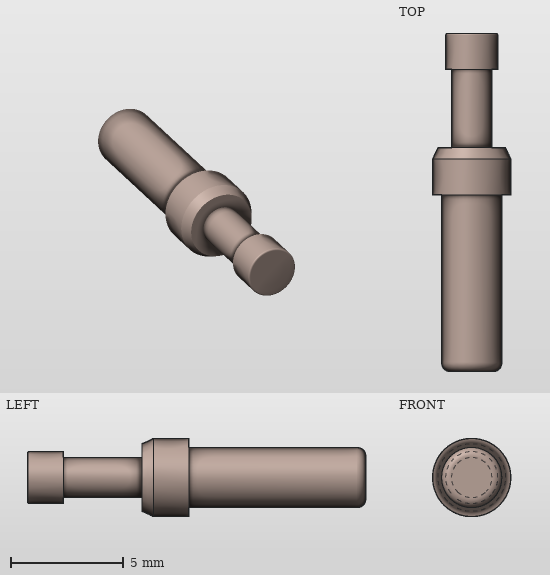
import cadquery as cq

total_length = 15.1
head_length = 1.6
neck_length = 3.5
collar_length = 2.1
pin_length = total_length - head_length - neck_length - collar_length

head_diameter = 2.33
neck_diameter = 1.8
collar_diameter = 3.5
pin_diameter = 2.69

pin_tip_fillet = 0.4
collar_taper_length = 0.51
collar_taper_depth = 0.24
head_end_fillet = 0.08


def cylinder(start, length, diameter):
    """Solid cylinder on the Y axis running from start towards +Y."""
    base = cq.Workplane("XZ", origin=(0, start, 0))
    return base.circle(diameter / 2).extrude(-length)


collar_start = pin_length
neck_start = collar_start + collar_length
head_start = neck_start + neck_length

pin = cylinder(0, pin_length, pin_diameter).faces("<Y").edges().fillet(pin_tip_fillet)

collar_radius = collar_diameter / 2
collar_profile = (
    cq.Workplane("XY")
    .moveTo(0, collar_start)
    .lineTo(collar_radius, collar_start)
    .lineTo(collar_radius, neck_start - collar_taper_length)
    .lineTo(collar_radius - collar_taper_depth, neck_start)
    .lineTo(0, neck_start)
    .close()
)
collar = collar_profile.revolve(360, (0, 0, 0), (0, 1, 0))

neck = cylinder(neck_start, neck_length, neck_diameter)
head = cylinder(head_start, head_length, head_diameter).faces(">Y").edges().fillet(head_end_fillet)

result = pin.union(collar).union(neck).union(head)